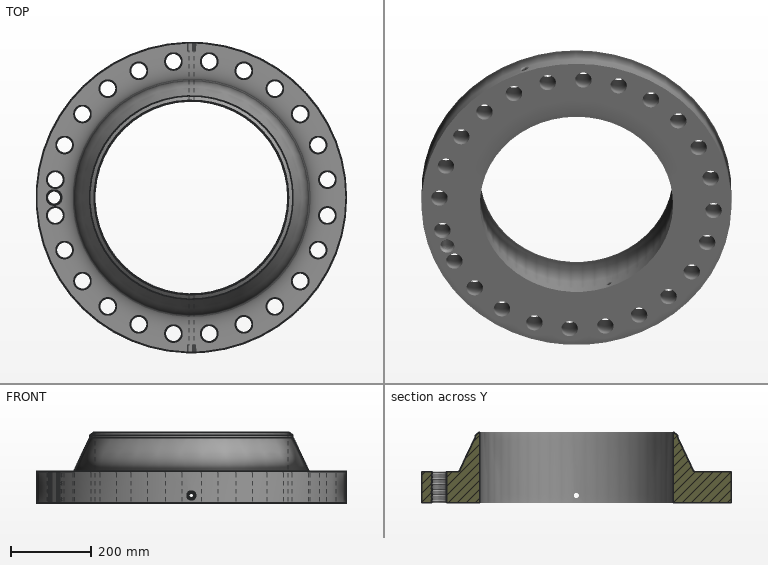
import cadquery as cq
import math

flange_diameter = 774.7
flange_thickness = 79.4
bore_diameter = 482.6

overall_height = 177.67
hub_base_diameter = 587.4
pipe_diameter = 508.0
land_bottom_height = 163.5
bevel_angle = 37.5
root_face_width = 1.6
hub_fillet_radius = 4.0

bolt_circle_diameter = 685.8
bolt_hole_count = 24
bolt_hole_diameter = 41.3

jack_thread_diameter = 37.6
jack_thread_pitch = 4.233
jack_thread_depth = 1.9

tap_height = 19.05
tap_mouth_diameter = 21.3
tap_thread_pitch = 1.814
tap_thread_depth = 1.4
tap_thread_count = 11
tap_taper = 1 / 32
tap_bore_diameter = 12.7


def make_body():
    """Revolve the flange, hub, land and bevel section around the Z axis."""
    bore_radius = bore_diameter / 2
    pipe_radius = pipe_diameter / 2
    hub_radius = hub_base_diameter / 2
    root_radius = bore_radius + root_face_width
    bevel_height = (pipe_radius - root_radius) * math.tan(math.radians(bevel_angle))
    section = (
        cq.Workplane("XZ")
        .moveTo(bore_radius, 0)
        .lineTo(flange_diameter / 2, 0)
        .lineTo(flange_diameter / 2, flange_thickness)
        .lineTo(hub_radius, flange_thickness)
        .lineTo(pipe_radius, land_bottom_height)
        .lineTo(pipe_radius, overall_height - bevel_height)
        .lineTo(root_radius, overall_height)
        .lineTo(bore_radius, overall_height)
        .close()
    )
    body = section.revolve(360, (0, 0, 0), (0, 1, 0))
    selection_margin = 1.0
    reach = hub_radius + selection_margin
    hub_foot = cq.selectors.BoxSelector(
        (-reach, -reach, flange_thickness - selection_margin),
        (reach, reach, flange_thickness + selection_margin),
        boundingbox=True,
    )
    return body.edges(hub_foot).fillet(hub_fillet_radius)


def make_bolt_holes():
    """Through holes around the bolt circle, offset by half a pitch."""
    half_pitch_angle = 180 / bolt_hole_count
    return (
        cq.Workplane("XY")
        .polarArray(bolt_circle_diameter / 2, half_pitch_angle, 360, bolt_hole_count)
        .circle(bolt_hole_diameter / 2)
        .extrude(flange_thickness)
    )


def make_thread(mouth_diameter, pitch, thread_depth, thread_count, taper=0.0):
    """Ring-grooved thread form along +Z, with its widest groove at Z = 0."""
    def groove_radius(depth):
        return mouth_diameter / 2 - taper * depth

    length = thread_count * pitch
    outline = [(0, 0), (groove_radius(0), 0)]
    for turn in range(thread_count):
        crest_depth = (turn + 0.5) * pitch
        groove_depth = (turn + 1) * pitch
        outline.append((groove_radius(crest_depth) - thread_depth, crest_depth))
        outline.append((groove_radius(groove_depth), groove_depth))
    outline.append((0, length))
    return cq.Workplane("XZ").polyline(outline).close().revolve(360, (0, 0, 0), (0, 1, 0))


def make_jackscrew_hole():
    """Threaded hole through the full flange thickness."""
    turns = math.ceil(flange_thickness / jack_thread_pitch)
    thread = make_thread(jack_thread_diameter, jack_thread_pitch, jack_thread_depth, turns)
    return thread.rotate((0, 0, 0), (1, 0, 0), 180).translate(
        (-bolt_circle_diameter / 2, 0, flange_thickness)
    )


def make_pressure_tap():
    """Tapered thread in the -Y rim, followed by a plain hole into the bore."""
    thread = make_thread(
        tap_mouth_diameter, tap_thread_pitch, tap_thread_depth, tap_thread_count, tap_taper
    )
    drilled = cq.Workplane("XY").circle(tap_bore_diameter / 2).extrude(flange_diameter / 2)
    return (
        thread.union(drilled)
        .rotate((0, 0, 0), (1, 0, 0), -90)
        .translate((0, -flange_diameter / 2, tap_height))
    )


front_tap = make_pressure_tap()
back_tap = front_tap.rotate((0, 0, 0), (0, 0, 1), 180)

result = (
    make_body()
    .cut(make_bolt_holes())
    .cut(make_jackscrew_hole())
    .cut(front_tap)
    .cut(back_tap)
)